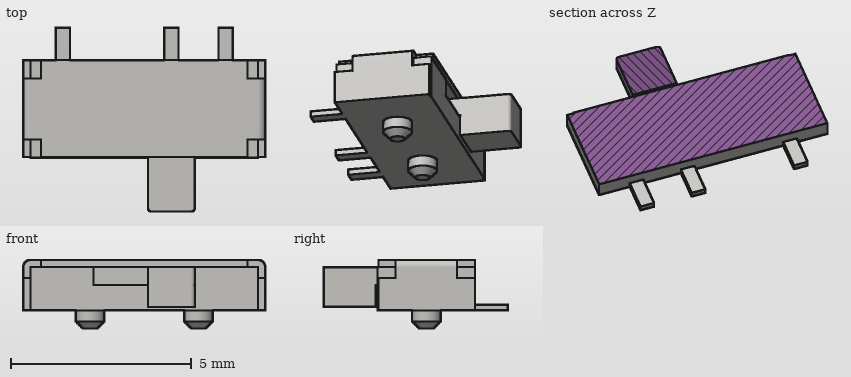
import cadquery as cq


base_length = 6.3
base_front_y = -1.35
base_back_y = 1.35
base_height = 1.2

sheet_thickness = 0.2
cover_setback = 0.02
cover_front_y = base_front_y + cover_setback
cover_top_z = base_height + sheet_thickness
cover_half_length = base_length / 2 + sheet_thickness
bend_radius = sheet_thickness
notch_inner_x = 2.85
notch_length_y = 0.5
notch_depth = 0.5

slot_length = 2.8
slot_floor_z = 0.7
slot_depth = 0.6

terminal_width = 0.4
terminal_thickness = 0.16
terminal_length = 0.9
terminal_centres_x = [-2.25, 0.75, 2.25]

peg_radius = 0.4
peg_tip_radius = 0.2
peg_length = 0.5
peg_straight_length = 0.3
peg_centres_x = [-1.5, 1.5]

slider_width = 1.3
slider_right_x = slot_length / 2
slider_left_x = slider_right_x - slider_width
slider_bottom_z = 0.1
slider_projection = 1.49
slider_clearance = 0.05
slider_corner_radius = 0.1


def block(x_range, y_range, z_range):
    """Axis-aligned block given the start and end along each axis."""
    (x0, x1), (y0, y1), (z0, z1) = x_range, y_range, z_range
    return cq.Workplane("XY").box(x1 - x0, y1 - y0, z1 - z0, centered=False).translate((x0, y0, z0))


def make_base():
    half_length = base_length / 2
    return block((-half_length, half_length), (base_front_y, base_back_y), (0, base_height))


def make_cover():
    """Folded sheet with rounded bends, notched at its four corners."""
    half_base = base_length / 2
    shell = (
        cq.Workplane("XZ", origin=(0, base_back_y, 0))
        .moveTo(-half_base, 0)
        .lineTo(-cover_half_length, 0)
        .lineTo(-cover_half_length, cover_top_z - bend_radius)
        .radiusArc((-cover_half_length + bend_radius, cover_top_z), bend_radius)
        .lineTo(cover_half_length - bend_radius, cover_top_z)
        .radiusArc((cover_half_length, cover_top_z - bend_radius), bend_radius)
        .lineTo(cover_half_length, 0)
        .lineTo(half_base, 0)
        .lineTo(half_base, base_height)
        .lineTo(-half_base, base_height)
        .close()
        .extrude(base_back_y - cover_front_y)
    )
    notch_z = (cover_top_z - notch_depth, cover_top_z)
    for x_range in [(-cover_half_length, -notch_inner_x), (notch_inner_x, cover_half_length)]:
        for y_range in [
            (cover_front_y, base_front_y + notch_length_y),
            (base_back_y - notch_length_y, base_back_y),
        ]:
            shell = shell.cut(block(x_range, y_range, notch_z))
    return shell


def make_terminal(centre_x):
    half_width = terminal_width / 2
    return block(
        (centre_x - half_width, centre_x + half_width),
        (base_back_y, base_back_y + terminal_length),
        (0, terminal_thickness),
    )


def make_peg(centre_x):
    """Round peg below the base with a conical tip."""
    return (
        cq.Workplane("XZ")
        .lineTo(peg_radius, 0)
        .lineTo(peg_radius, -peg_straight_length)
        .lineTo(peg_tip_radius, -peg_length)
        .lineTo(0, -peg_length)
        .close()
        .revolve(360, (0, 0, 0), (0, 1, 0))
        .translate((centre_x, 0, 0))
    )


def make_housing():
    """Base, cover, terminals and pegs as one solid with the slider slot in its front."""
    slot = block(
        (-slot_length / 2, slot_length / 2),
        (base_front_y, base_front_y + slot_depth),
        (slot_floor_z, base_height),
    )
    housing = make_base().cut(slot).union(make_cover())
    for centre_x in terminal_centres_x:
        housing = housing.union(make_terminal(centre_x))
    for centre_x in peg_centres_x:
        housing = housing.union(make_peg(centre_x))
    return housing


def make_slider():
    """Knob in front of the housing with a neck filling the right end of the slot."""
    slider_x = (slider_left_x, slider_right_x)
    knob_back_y = base_front_y - slider_clearance
    knob = block(
        slider_x,
        (base_front_y - slider_projection, knob_back_y),
        (slider_bottom_z, base_height),
    )
    knob = knob.edges("|Z and <Y").fillet(slider_corner_radius)
    neck = block(slider_x, (knob_back_y, base_front_y + slot_depth), (slot_floor_z, base_height))
    return knob.union(neck)


housing = make_housing()
slider = make_slider()

result = cq.Compound.makeCompound([housing.solids().val(), slider.solids().val()])